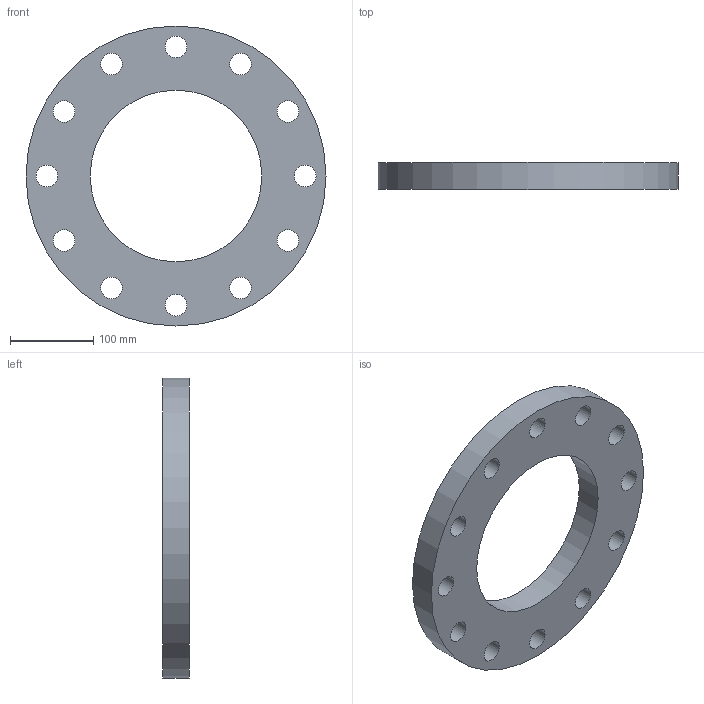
import cadquery as cq

outer_diameter = 360.0
bore_diameter = 206.0
thickness = 32.0

bolt_circle_diameter = 310.0
bolt_hole_diameter = 26.0
bolt_hole_count = 12


def make_ring():
    """Plain ring centred on the origin, with faces at +/- half its thickness in Y."""
    return (
        cq.Workplane("XZ", origin=(0, thickness / 2, 0))
        .circle(outer_diameter / 2)
        .circle(bore_diameter / 2)
        .extrude(thickness)
    )


def make_bolt_holes():
    """Cylinders that cut the bolt holes through the full thickness."""
    return (
        cq.Workplane("XZ", origin=(0, thickness / 2, 0))
        .polarArray(bolt_circle_diameter / 2, 0, 360, bolt_hole_count)
        .circle(bolt_hole_diameter / 2)
        .extrude(thickness)
    )


result = make_ring().cut(make_bolt_holes())